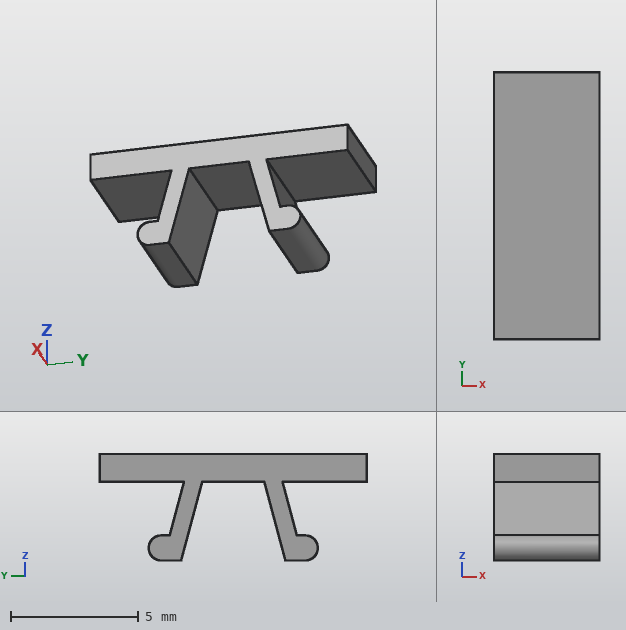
import cadquery as cq
import math

width = 4.15
plate_length = 10.5
plate_thickness = 1.1

total_height = 4.2
leg_angle = 15.0
leg_thickness = 0.7
leg_root_gap = 2.43
foot_span = 6.65
foot_height = 1.0

foot_radius = foot_height / 2
foot_bottom = plate_thickness - total_height
foot_top = foot_bottom + foot_height
lean = math.tan(math.radians(leg_angle))
inner_root = leg_root_gap / 2
outer_root = inner_root + leg_thickness / math.cos(math.radians(leg_angle))
inner_end = inner_root - foot_bottom * lean
outer_end = outer_root - foot_top * lean
foot_tip = foot_span / 2
foot_arc_center = foot_tip - foot_radius


def make_plate():
    """Flat rectangular plate resting on Z = 0."""
    return cq.Workplane("XY").box(width, plate_length, plate_thickness, centered=(True, True, False))


def make_leg():
    """Leaning leg on the +Y side with a round-nosed foot pointing outward."""
    return (
        cq.Workplane("YZ")
        .moveTo(inner_root, 0)
        .lineTo(inner_end, foot_bottom)
        .lineTo(foot_arc_center, foot_bottom)
        .threePointArc((foot_tip, foot_bottom + foot_radius), (foot_arc_center, foot_top))
        .lineTo(outer_end, foot_top)
        .lineTo(outer_root, 0)
        .close()
        .extrude(width / 2, both=True)
    )


leg = make_leg()
result = make_plate().union(leg).union(leg.mirror("XZ"))